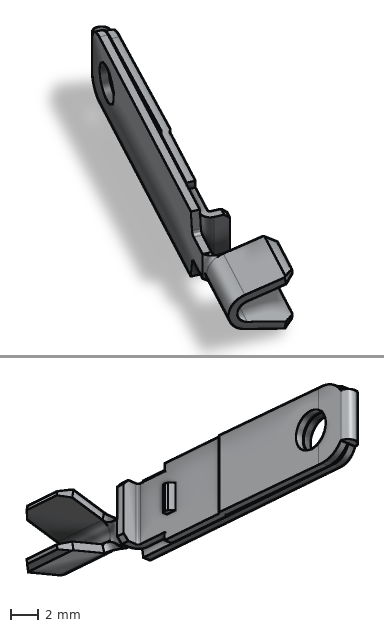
import cadquery as cq
import math

length = 31.35
sheet = 0.7
leaf_gap = 0.05
leaf_base = sheet + leaf_gap
stack = leaf_base + sheet
half_width = 3.15

fold_radius = stack / 2
fold_half_width = 2.07

end_x = fold_radius
front_arc_end_x = 2.3
back_arc_end_x = 2.75
hole_x = 3.95
hole_diameter = 3.15

shoulder_x = 22.88
shoulder_foot_x = 23.2
shoulder_fillet = 0.38
neck_half_width = 1.2
neck_end_x = 25.5

bow_height = 0.14
bow_start_x = 3.13
bow_peak_x = 13.7
bow_end_x = 13.95
tongue_start_x = 19.75
tongue_half_width = 2.5
tab_end_x = 23.3
tab_top_y = 2.9
tab_chamfer = 0.47
bend_inner_radius = 0.22

catch_start_x = 18.55
catch_ramp_end_x = 18.93
catch_crest_x = 19.18
catch_end_x = 19.5
catch_half_width = 1.13
catch_shoulder_y = 1.85
catch_top_y = 1.95

flare_middle_x = 26.0
flare_middle_z = 1.32
flare_middle_y = 0.55
barrel_start_x = 26.45
barrel_radius = 1.72
wing_angle = math.radians(15)
wing_crest_y = 4.45
wing_tip_y = 5.25
wing_tip_z = 2.38
wing_chamfer = 0.8
wing_trim_tilt = 10


def leaf_blank(arc_end_x, right_end):
    """Leaf outline with rounded left corners; right_end lists its upper right points."""
    arc_run = arc_end_x - end_x
    arc_rise = half_width - fold_half_width
    arc_radius = (arc_run**2 + arc_rise**2) / (2 * arc_rise)

    outline = cq.Workplane("XZ").moveTo(end_x, -fold_half_width).lineTo(end_x, fold_half_width)
    outline = outline.radiusArc((arc_end_x, half_width), arc_radius)
    for x, z in right_end:
        outline = outline.lineTo(x, z)
    for x, z in reversed(right_end):
        outline = outline.lineTo(x, -z)
    outline = outline.lineTo(arc_end_x, -half_width)
    outline = outline.radiusArc((end_x, -fold_half_width), arc_radius)
    return outline.close()


def extrude_symmetric(profile, half_height):
    """Extrude a profile drawn in XY equally up and down."""
    return profile.extrude(half_height, both=True)


def front_leaf():
    right_end = [
        (shoulder_x, half_width),
        (shoulder_foot_x, neck_half_width),
        (neck_end_x, neck_half_width),
    ]
    blank = leaf_blank(front_arc_end_x, right_end)
    leaf = blank.extrude(-sheet)
    shoulder_feet = cq.selectors.BoxSelector(
        (shoulder_foot_x - shoulder_fillet / 2, 0, -half_width),
        (shoulder_foot_x + shoulder_fillet / 2, sheet, half_width),
    )
    return leaf.edges("|Y").edges(shoulder_feet).fillet(shoulder_fillet)


def fold():
    gap_radius = leaf_gap / 2
    profile = (
        cq.Workplane("XY")
        .moveTo(fold_radius, 0)
        .radiusArc((0, fold_radius), fold_radius)
        .radiusArc((fold_radius, stack), fold_radius)
        .lineTo(fold_radius, leaf_base)
        .threePointArc((fold_radius - gap_radius, fold_radius), (fold_radius, sheet))
        .close()
    )
    return extrude_symmetric(profile, fold_half_width)


def back_leaf():
    bend_outer_radius = bend_inner_radius + sheet
    profile = (
        cq.Workplane("XY")
        .moveTo(end_x, leaf_base)
        .lineTo(bow_start_x, leaf_base)
        .lineTo(bow_peak_x, leaf_base + bow_height)
        .lineTo(bow_end_x, leaf_base)
        .lineTo(tab_end_x - bend_outer_radius, leaf_base)
        .radiusArc((tab_end_x, leaf_base + bend_outer_radius), -bend_outer_radius)
        .lineTo(tab_end_x, tab_top_y)
        .lineTo(tab_end_x - sheet, tab_top_y)
        .lineTo(tab_end_x - sheet, stack + bend_inner_radius)
        .radiusArc((tab_end_x - sheet - bend_inner_radius, stack), bend_inner_radius)
        .lineTo(bow_end_x, stack)
        .lineTo(bow_peak_x, stack + bow_height)
        .lineTo(bow_start_x, stack)
        .lineTo(end_x, stack)
        .close()
    )
    strip = extrude_symmetric(profile, half_width)

    right_end = [
        (tongue_start_x, half_width),
        (tongue_start_x, tongue_half_width),
        (tab_end_x, tongue_half_width),
    ]
    blank = leaf_blank(back_arc_end_x, right_end)
    leaf = strip.intersect(blank.extrude(-tab_top_y))
    return leaf.edges("|X and >Y").chamfer(tab_chamfer)


def catch():
    profile = (
        cq.Workplane("XY")
        .moveTo(catch_start_x, stack)
        .lineTo(catch_ramp_end_x, catch_shoulder_y)
        .lineTo(catch_crest_x, catch_top_y)
        .lineTo(catch_end_x, catch_shoulder_y)
        .lineTo(catch_end_x, stack)
        .close()
    )
    return extrude_symmetric(profile, catch_half_width)


floor_z = barrel_radius * math.cos(wing_angle)
floor_y = barrel_radius * (1 - math.sin(wing_angle))
inner_radius = barrel_radius - sheet
inner_floor_z = inner_radius * math.cos(wing_angle)
inner_floor_y = barrel_radius - inner_radius * math.sin(wing_angle)


def wing_z(start_z, start_y, y):
    """Z at depth y of a wing face that leaves the floor at (start_z, start_y)."""
    return start_z + (y - start_y) * math.tan(wing_angle)


def barrel():
    barrel_length = length - barrel_start_x
    crest_z = wing_z(floor_z, floor_y, wing_crest_y)
    inner_tip_z = wing_z(inner_floor_z, inner_floor_y, wing_tip_y)
    half_angle = math.radians(45) - wing_angle / 2
    upper_half = (
        cq.Workplane("YZ", origin=(barrel_start_x, 0, 0))
        .moveTo(0, 0)
        .threePointArc(
            (barrel_radius * (1 - math.cos(half_angle)), barrel_radius * math.sin(half_angle)),
            (floor_y, floor_z),
        )
        .lineTo(wing_crest_y, crest_z)
        .lineTo(wing_tip_y, wing_tip_z)
        .lineTo(wing_tip_y, inner_tip_z)
        .lineTo(inner_floor_y, inner_floor_z)
        .threePointArc(
            (barrel_radius - inner_radius * math.cos(half_angle), inner_radius * math.sin(half_angle)),
            (sheet, 0),
        )
        .close()
        .extrude(barrel_length)
    )
    trimmed_plate = (
        cq.Workplane("XY", origin=(barrel_start_x, 0, inner_tip_z))
        .moveTo(0, -wing_tip_y)
        .lineTo(0, wing_tip_y)
        .lineTo(barrel_length, wing_tip_y)
        .lineTo(barrel_length, -wing_tip_y)
        .close()
        .extrude(half_width, both=True)
        .edges("|Z and >Y")
        .chamfer(wing_chamfer)
        .rotate((0, wing_tip_y, inner_tip_z), (1, wing_tip_y, inner_tip_z), wing_trim_tilt)
    )
    wing = upper_half.intersect(trimmed_plate)
    return wing.union(wing.mirror("XY"))


def trough_wire(x, edge_z, edge_y):
    """Section of a round trough at x whose outer face rises to (edge_z, edge_y)."""
    radius = (edge_z**2 + edge_y**2) / (2 * edge_y)
    inner_scale = (radius - sheet) / radius
    inner_z = edge_z * inner_scale
    inner_y = radius - (radius - edge_y) * inner_scale
    section = (
        cq.Workplane("YZ", origin=(x, 0, 0))
        .moveTo(edge_y, -edge_z)
        .threePointArc((0, 0), (edge_y, edge_z))
        .lineTo(inner_y, inner_z)
        .threePointArc((sheet, 0), (inner_y, -inner_z))
        .close()
    )
    return section.val()


def transition():
    """Flare from the flat neck to the round floor of the barrel."""
    neck_section = (
        cq.Workplane("YZ", origin=(neck_end_x, 0, 0))
        .moveTo(0, -neck_half_width)
        .lineTo(0, neck_half_width)
        .lineTo(sheet, neck_half_width)
        .lineTo(sheet, -neck_half_width)
        .close()
        .val()
    )
    middle_section = trough_wire(flare_middle_x, flare_middle_z, flare_middle_y)
    barrel_section = trough_wire(barrel_start_x, floor_z, floor_y)
    return cq.Workplane(cq.Solid.makeLoft([neck_section, middle_section, barrel_section]))


hole = cq.Workplane("XZ").center(hole_x, 0).circle(hole_diameter / 2).extrude(-tab_top_y)
leaves = front_leaf().union(back_leaf())
result = leaves.union(fold()).union(catch()).cut(hole)
result = result.union(transition()).union(barrel())